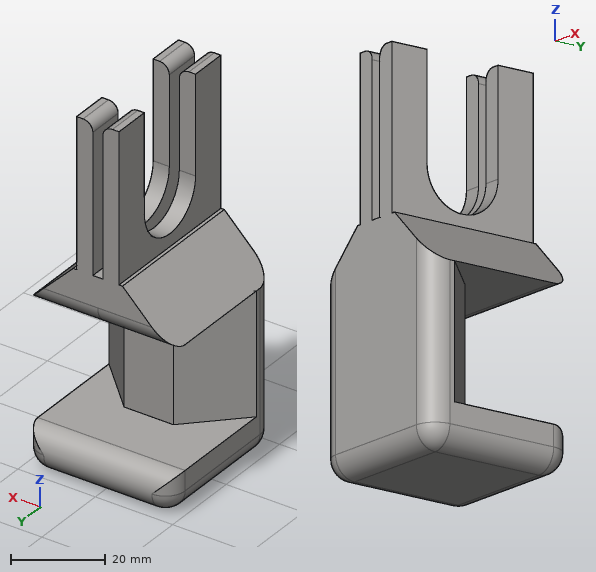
import cadquery as cq

width = 38.1
height = 92.3
half_width = width / 2
corner_radius = 5.1

shoulder_width = 12.7
bevel = (width - shoulder_width) / 2
prong_height = 38.1
shoulder_z = height - prong_height
eave_z = shoulder_z - bevel

prong_span = 11.0
prong_gap = 2.6
prong_tip_radius = 2.5
notch_width = 19.1
notch_bottom_z = 57.4

floor_thickness = 2 * corner_radius
wall_thickness = 6.4


def make_body():
    """Rounded block with two 45 degree slopes up to the shoulder."""
    block = cq.Workplane("XY").box(width, width, shoulder_z, centered=(True, True, False))
    block = block.edges("|Z").fillet(corner_radius)
    block = block.faces("<Z").edges().fillet(corner_radius)
    gable = (
        cq.Workplane("XZ")
        .polyline([
            (-half_width, 0),
            (half_width, 0),
            (half_width, eave_z),
            (shoulder_width / 2, shoulder_z),
            (-shoulder_width / 2, shoulder_z),
            (-half_width, eave_z),
        ])
        .close()
        .extrude(half_width, both=True)
    )
    return block.intersect(gable)


def make_opening():
    """Space open to +Y, leaving a -Y wall thickened by a trapezoidal rib with 45 degree flanks."""
    wall_y = wall_thickness - half_width
    rib_y = wall_y + bevel
    return (
        cq.Workplane("XY", origin=(0, 0, floor_thickness))
        .polyline([
            (-half_width, wall_y),
            (-shoulder_width / 2, rib_y),
            (shoulder_width / 2, rib_y),
            (half_width, wall_y),
            (half_width, half_width),
            (-half_width, half_width),
        ])
        .close()
        .extrude(eave_z - floor_thickness)
    )


def make_edge_cut(edge_z, inward):
    """Waste outside a rounded +Y edge at edge_z; inward (-1 or 1) is the Z direction into the material."""
    center_y = half_width - corner_radius
    center_z = edge_z + inward * corner_radius
    corner = cq.Workplane("XY").box(width, corner_radius, corner_radius, centered=(True, False, False))
    corner = corner.translate((0, center_y, min(edge_z, center_z)))
    rounding = (
        cq.Workplane("YZ")
        .center(center_y, center_z)
        .circle(corner_radius)
        .extrude(half_width, both=True)
    )
    return corner.cut(rounding)


def make_prong(side):
    """Upright plate on one side of the gap (side is -1 or 1), rounded at its inner tip."""
    thickness = (prong_span - prong_gap) / 2
    plate = cq.Workplane("XY").box(thickness, width, prong_height, centered=(True, True, False))
    inner_edge = "<X" if side > 0 else ">X"
    plate = plate.faces(">Z").edges(inner_edge).fillet(prong_tip_radius)
    return plate.translate((side * (prong_gap + thickness) / 2, 0, shoulder_z))


def make_notch():
    """U-shaped notch through both prongs, open at the top."""
    radius = notch_width / 2
    center_z = notch_bottom_z + radius
    return (
        cq.Workplane("YZ")
        .moveTo(-radius, height)
        .lineTo(-radius, center_z)
        .threePointArc((0, notch_bottom_z), (radius, center_z))
        .lineTo(radius, height)
        .close()
        .extrude(prong_span, both=True)
    )


result = make_body().cut(make_opening())
result = result.cut(make_edge_cut(floor_thickness, -1))
result = result.cut(make_edge_cut(eave_z, 1))
for side in (-1, 1):
    result = result.union(make_prong(side))
result = result.cut(make_notch())